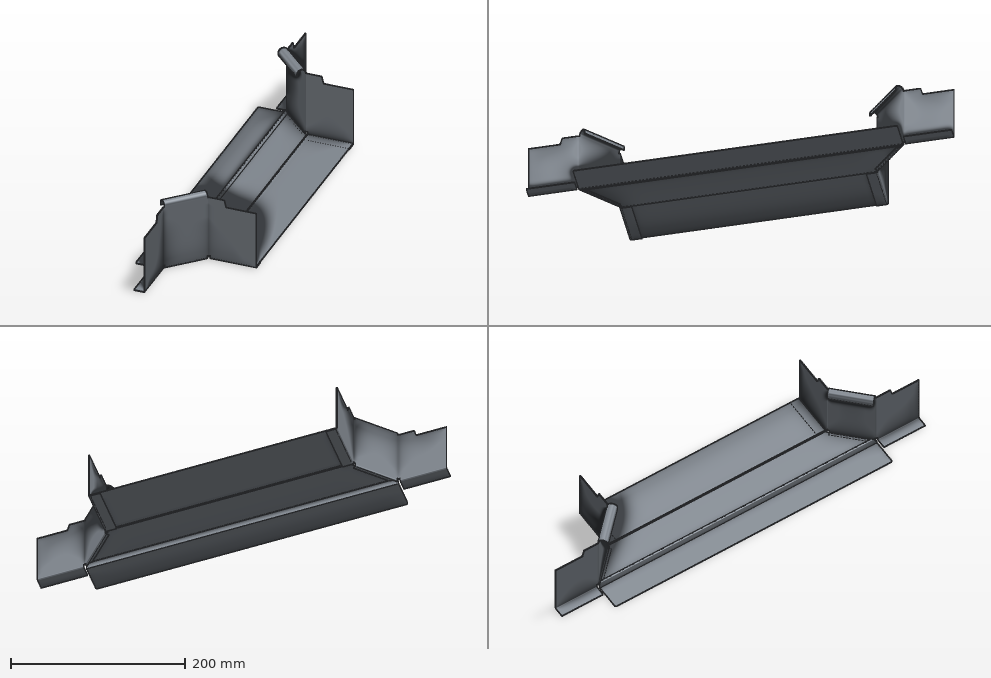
import cadquery as cq
import math

WIDTH = 133.5
HALF_LENGTH = 499.2 / 2
HEIGHT = 89.45

SHEET = 1.25
INNER_BEND = 1.0
OUTER_BEND = INNER_BEND + SHEET

PANEL = 58.2
WALL_X = 35.6
CORNER_A = (WALL_X, HALF_LENGTH - PANEL)
CORNER_RUN = WIDTH - PANEL - WALL_X
CORNER_B = (WALL_X + CORNER_RUN, CORNER_A[1] - CORNER_RUN)
WALL_START = (WALL_X, HALF_LENGTH)
WALL_END = (WIDTH, CORNER_B[1])
WALL_PATH = [WALL_START, CORNER_A, CORNER_B, WALL_END]
DIAGONAL = CORNER_RUN * math.sqrt(2)
ALONG_DIAGONAL = (math.sqrt(0.5), -math.sqrt(0.5))

ROLL_RADIUS = 6.05
ROLL_LIP = 3.0
ROLL_INSET = 1.0
WALL_TOP = HEIGHT - ROLL_RADIUS

STEP_DROP = 9.0
STEP_START = 19.0
STEP_RUN = 2.2
STEP_ROUND = 1.5

FOOT_BOTTOM = 1.5
FOOT_TOP = FOOT_BOTTOM + SHEET
FOOT_DEPTH = 14.0
DIAGONAL_FOOT_DEPTH = 5.0
RELIEF_TOP = 5.7
RELIEF_HALF_WIDTH = 1.5

FLOOR_TOP = FOOT_TOP + SHEET
FLOOR_HALF_LENGTH = 190.3
FLOOR_GAP = OUTER_BEND
STRIP_CORNER = 2.0
RIDGE_X = 32.0
RIDGE_TOP = 6.0
RIDGE_RADIUS = 1.5
RIDGE_FRONT_SLOPE = math.radians(60)
RIDGE_BACK_SLOPE = math.radians(38)
RIDGE_CENTRE_Z = RIDGE_TOP - RIDGE_RADIUS


def tangent_run(level, slope):
    """Distance in X from the ridge centre to where a slope tangent to its crown meets a level."""
    return (RIDGE_RADIUS / math.cos(slope) + RIDGE_CENTRE_Z - level) / math.tan(slope)


RIDGE_CENTRE_X = RIDGE_X + tangent_run(SHEET, RIDGE_FRONT_SLOPE)
RIDGE_END_X = RIDGE_CENTRE_X + tangent_run(FLOOR_TOP, RIDGE_BACK_SLOPE)
RIB_X = 76.5
RIB_RISE = 0.6
RIB_FRONT = 1.4
RIB_BACK = 4.4
RIB_BACK_RADIUS = (RIB_BACK**2 + RIB_RISE**2) / (2 * RIB_RISE)


def offset_path(points, distance):
    """Open path parallel to the given one, at a distance to its right, with mitred corners."""
    normals = []
    for (x0, y0), (x1, y1) in zip(points, points[1:]):
        length = math.hypot(x1 - x0, y1 - y0)
        normals.append(((y1 - y0) / length, (x0 - x1) / length))
    befores = normals[:1] + normals
    afters = normals + normals[-1:]
    shifted = []
    for (x, y), (ax, ay), (bx, by) in zip(points, befores, afters):
        scale = distance / (1 + ax * bx + ay * by)
        shifted.append((x + (ax + bx) * scale, y + (ay + by) * scale))
    return shifted


def panel_profile(corner, direction, end):
    """Sketch plane across a panel at its far end: local x goes to the foot side, local y is Z."""
    dx, dy = direction
    plane = cq.Plane(origin=(*corner, 0), xDir=(dy, -dx, 0), normal=(-dx, -dy, 0))
    return cq.Workplane(plane).workplane(offset=-end)



def floor_plan():
    """Prism over the floor outline: it follows the 45 degree and rear walls at both ends."""
    _, corner_a, corner_b, wall_end = offset_path(WALL_PATH, FLOOR_GAP)
    diagonal_start = (corner_a[0] + corner_a[1] - FLOOR_HALF_LENGTH, FLOOR_HALF_LENGTH)
    half = [(0, FLOOR_HALF_LENGTH), diagonal_start, corner_b, wall_end]
    outline = half + [(x, -y) for x, y in reversed(half)]
    plan = cq.Workplane("XY").polyline(outline).close().extrude(HEIGHT)
    return plan.edges("|Z and <X").fillet(STRIP_CORNER)


def ridge_points(depth):
    """Front foot, both crown arc ends and back foot of the ridge, at a depth below the upper face."""
    radius = RIDGE_RADIUS - depth
    ends = []
    for side, slope in ((-1, RIDGE_FRONT_SLOPE), (1, RIDGE_BACK_SLOPE)):
        x = RIDGE_CENTRE_X + side * radius * math.sin(slope)
        ends.append((x, RIDGE_CENTRE_Z + radius * math.cos(slope)))
    front_foot = (RIDGE_X + depth * math.tan(RIDGE_FRONT_SLOPE / 2), SHEET - depth)
    back_foot = (RIDGE_END_X - depth * math.tan(RIDGE_BACK_SLOPE / 2), FLOOR_TOP - depth)
    return [front_foot, *ends, back_foot]


def rib_points(depth):
    """Front foot, crest and back foot of the rear rib."""
    level = FLOOR_TOP - depth
    crest_x = RIB_X + RIB_FRONT
    return [(RIB_X, level), (crest_x, level + RIB_RISE), (crest_x + RIB_BACK, level)]


def make_floor():
    """Folded sheet drawn as an X-Z section, trimmed to the floor outline."""
    front_foot, crown_start, crown_end, back_foot = ridge_points(0)
    rib_foot, crest, rib_end = rib_points(0)
    section = (
        cq.Workplane("XZ", origin=(0, FLOOR_HALF_LENGTH, 0))
        .moveTo(0, SHEET)
        .lineTo(*front_foot)
        .lineTo(*crown_start)
        .radiusArc(crown_end, RIDGE_RADIUS)
        .lineTo(*back_foot)
        .lineTo(*rib_foot)
        .lineTo(*crest)
        .radiusArc(rib_end, -RIB_BACK_RADIUS)
        .lineTo(WIDTH, FLOOR_TOP)
    )
    front_foot, crown_start, crown_end, back_foot = ridge_points(SHEET)
    rib_foot, crest, rib_end = rib_points(SHEET)
    section = (
        section.lineTo(WIDTH, FLOOR_TOP - SHEET)
        .lineTo(*rib_end)
        .radiusArc(crest, RIB_BACK_RADIUS)
        .lineTo(*rib_foot)
        .lineTo(*back_foot)
        .lineTo(*crown_end)
        .radiusArc(crown_start, SHEET - RIDGE_RADIUS)
        .lineTo(*front_foot)
        .lineTo(0, 0)
        .close()
    )
    return section.extrude(2 * FLOOR_HALF_LENGTH).intersect(floor_plan())



def bent_wall():
    """The three panels above the reliefs, with rounded bends at both corners."""
    inner_path = offset_path(WALL_PATH, SHEET)
    wall = (
        cq.Workplane("XY", origin=(0, 0, RELIEF_TOP))
        .polyline(WALL_PATH + inner_path[::-1])
        .close()
        .extrude(WALL_TOP - RELIEF_TOP)
    )
    middle_z = (RELIEF_TOP + WALL_TOP) / 2
    for path, radius in ((WALL_PATH, INNER_BEND), (inner_path, OUTER_BEND)):
        for x, y in path[1:-1]:
            bend = cq.selectors.NearestToPointSelector((x, y, middle_z))
            wall = wall.edges(bend).fillet(radius)
    return wall


def cut_step(wall, corner, direction):
    """Lower the top edge of a straight panel beyond a slanted step with rounded corners."""
    low = WALL_TOP - STEP_DROP
    step_end = STEP_START + STEP_RUN
    slant = math.atan2(STEP_DROP, STEP_RUN)
    trim = STEP_ROUND * math.tan(slant / 2)
    along, down = trim * math.cos(slant), trim * math.sin(slant)
    dx, dy = direction
    plane = cq.Plane(origin=(*corner, 0), xDir=(dx, dy, 0), normal=(dy, -dx, 0))
    cutter = (
        cq.Workplane(plane)
        .moveTo(STEP_START - trim, WALL_TOP)
        .radiusArc((STEP_START + along, WALL_TOP - down), STEP_ROUND)
        .lineTo(step_end - along, low + down)
        .radiusArc((step_end + trim, low), -STEP_ROUND)
        .lineTo(PANEL, low)
        .lineTo(PANEL, WALL_TOP)
        .close()
        .extrude(SHEET, both=True)
    )
    return wall.cut(cutter)


def skirt(corner, direction, start, end, depth):
    """Foot, foot bend and lowest stretch of wall of one panel, up to the relief height."""
    return (
        panel_profile(corner, direction, end)
        .moveTo(0, RELIEF_TOP)
        .lineTo(0, FOOT_BOTTOM + OUTER_BEND)
        .radiusArc((OUTER_BEND, FOOT_BOTTOM), -OUTER_BEND)
        .lineTo(depth, FOOT_BOTTOM)
        .lineTo(depth, FOOT_TOP)
        .lineTo(OUTER_BEND, FOOT_TOP)
        .radiusArc((SHEET, FOOT_TOP + INNER_BEND), INNER_BEND)
        .lineTo(SHEET, RELIEF_TOP)
        .close()
        .extrude(end - start)
    )


def roll():
    """Half-round roll with a short lip, turned toward the foot side."""
    outer_x = 2 * ROLL_RADIUS
    lip_z = WALL_TOP - ROLL_LIP
    return (
        panel_profile(CORNER_A, ALONG_DIAGONAL, DIAGONAL - ROLL_INSET)
        .moveTo(0, WALL_TOP)
        .radiusArc((outer_x, WALL_TOP), ROLL_RADIUS)
        .lineTo(outer_x, lip_z)
        .lineTo(outer_x - SHEET, lip_z)
        .lineTo(outer_x - SHEET, WALL_TOP)
        .radiusArc((SHEET, WALL_TOP), SHEET - ROLL_RADIUS)
        .close()
        .extrude(DIAGONAL - 2 * ROLL_INSET)
    )


def make_upright():
    """Upright end on the +Y side, one bent sheet with three feet and the roll."""
    upright = bent_wall()
    upright = cut_step(upright, CORNER_A, (0, 1))
    upright = cut_step(upright, CORNER_B, (1, 0))
    upright = upright.union(skirt(WALL_START, (0, -1), 0, PANEL - RELIEF_HALF_WIDTH, FOOT_DEPTH))
    upright = upright.union(skirt(CORNER_B, (1, 0), RELIEF_HALF_WIDTH, PANEL, FOOT_DEPTH))

    ridge_zone = cq.Workplane("XY").box(RIDGE_END_X, HALF_LENGTH, FOOT_TOP, centered=False)
    diagonal_end = DIAGONAL - RELIEF_HALF_WIDTH
    diagonal_skirt = skirt(CORNER_A, ALONG_DIAGONAL, RELIEF_HALF_WIDTH, diagonal_end, DIAGONAL_FOOT_DEPTH)
    diagonal_skirt = diagonal_skirt.cut(ridge_zone.intersect(floor_plan()))
    return upright.union(diagonal_skirt).union(roll())


floor = make_floor()
upright = make_upright()
opposite_upright = upright.mirror("XZ")

result = cq.Compound.makeCompound([floor.val(), upright.val(), opposite_upright.val()])